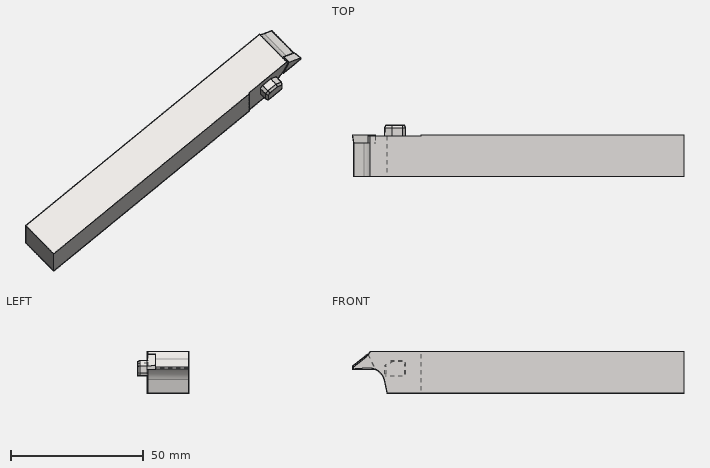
import cadquery as cq

length = 125.0
height = 15.9
width = 15.8
overall_width = 19.4

recess_length = 25.9
recess_depth = 0.4
recess_y = width - recess_depth

nose_x = 0.5
nose_top_z = 10.0
nose_bottom_z = 9.2
shoulder_x = 6.8
ramp_end_x, ramp_end_z = 4.4, 13.0
throat_x, throat_z = 5.8, 9.6
throat_mid_x, throat_mid_z = 10.0, 8.2
heel_x, heel_z = 12.0, 5.2
bottom_x = 13.1

insert_width = 3.1
insert_bottom_z = 9.0
insert_tip_z = 10.2
insert_back_x = 8.8
insert_top_x, insert_top_z = 5.9, 14.9
insert_relief = 0.5

head_left_x, head_right_x = 12.1, 20.1
head_bottom_z, head_top_z = 6.6, 12.5
head_corner = 1.1
head_foot_run = 0.4
head_slope_run, head_slope_drop = 2.8, 2.1
head_chamfer_inset = 0.5
head_chamfer_depth = 1.0
overlap = 0.6


def make_holder():
    """Shank and nose profile, extruded across the width."""
    holder = (
        cq.Workplane("XZ", origin=(0, width, 0))
        .moveTo(nose_x, nose_bottom_z)
        .lineTo(nose_x, nose_top_z)
        .lineTo(ramp_end_x, ramp_end_z)
        .tangentArcPoint((shoulder_x, height), relative=False)
        .lineTo(length, height)
        .lineTo(length, 0)
        .lineTo(bottom_x, 0)
        .lineTo(heel_x, heel_z)
        .threePointArc((throat_mid_x, throat_mid_z), (throat_x, throat_z))
        .close()
        .extrude(width)
    )
    recess = cq.Workplane("XY").box(recess_length, recess_depth, height, centered=False)
    return holder.cut(recess.translate((0, recess_y, 0)))


def make_insert():
    """Wedge-shaped insert whose tip recedes slightly away from the +Y side."""
    insert = (
        cq.Workplane("XZ", origin=(0, width, 0))
        .moveTo(0, insert_bottom_z)
        .lineTo(0, insert_tip_z)
        .lineTo(insert_top_x, insert_top_z)
        .lineTo(insert_back_x, insert_bottom_z)
        .close()
        .extrude(insert_width)
    )
    relief = (
        cq.Workplane("XY")
        .polyline([(0, width), (0, width - insert_width), (insert_relief, width - insert_width)])
        .close()
        .extrude(height)
    )
    return insert.cut(relief)


def make_clamp_head():
    """Block with cut corners and a rim chamfered all round except along its bottom."""
    outline = [
        (head_left_x, head_bottom_z + head_corner),
        (head_left_x, head_top_z - head_slope_drop),
        (head_left_x + head_slope_run, head_top_z),
        (head_right_x - head_corner, head_top_z),
        (head_right_x, head_top_z - head_corner),
        (head_right_x, head_bottom_z),
        (head_left_x + head_foot_run, head_bottom_z),
    ]
    return (
        cq.Workplane("XZ", origin=(0, overall_width, 0))
        .polyline(outline)
        .close()
        .extrude(overall_width - recess_y + overlap)
        .faces(">Y")
        .edges("not <Z")
        .chamfer(head_chamfer_depth, head_chamfer_inset)
    )


result = make_holder().union(make_insert()).union(make_clamp_head())